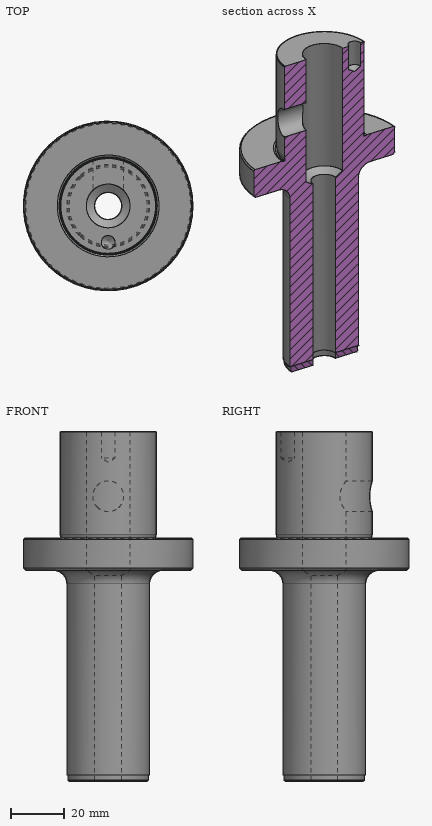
import cadquery as cq
import math

TOTAL_HEIGHT = 131.0
CAP_HEIGHT = 2.4
FLANGE_BOTTOM = 79.0
FLANGE_THICKNESS = 12.0
FLANGE_TOP = FLANGE_BOTTOM + FLANGE_THICKNESS

FLANGE_RADIUS = 63.5 / 2
SPIGOT_RADIUS = 36.0 / 2
SHANK_RADIUS = 31.0 / 2
CAP_RADIUS = SHANK_RADIUS - 0.4

FLANGE_TOP_CHAMFER = 0.5
FLANGE_BOTTOM_CHAMFER = 0.9
SPIGOT_TOP_CHAMFER = 0.3
CAP_CHAMFER = 0.5
SHANK_FILLET = 5.0

RELIEF_DEPTH = 0.3
RELIEF_HEIGHT = 1.5
RELIEF_WALL_HEIGHT = 0.3
RELIEF_WIDTH = 1.0
RELIEF_FLOOR_WIDTH = 0.4

BORE_RADIUS = 16.4 / 2
THROUGH_RADIUS = 10.1 / 2
BORE_FLOOR = FLANGE_BOTTOM
DRILL_POINT_ANGLE = 118.0

SIDE_HOLE_RADIUS = 11.5 / 2
SIDE_HOLE_Z = 106.8

TOP_HOLE_RADIUS = 5.1 / 2
TOP_HOLE_Y = -13.6
TOP_HOLE_DEPTH = 10.0


def point_height(radius):
    """Height of a drill point's cone for a hole of the given radius."""
    return radius / math.tan(math.radians(DRILL_POINT_ANGLE / 2))


def drilled_hole(radius, top, floor):
    """Cutter along Z: a cylinder from top to floor, ending in a drill point below the floor."""
    profile = [(0, top), (radius, top), (radius, floor), (0, floor - point_height(radius))]
    return cq.Workplane("XZ").polyline(profile).close().revolve(360, (0, 0), (0, 1))


def through_hole():
    """Narrow cutter along the whole axis, shared by the arbor and the cap."""
    return cq.Workplane("XY").circle(THROUGH_RADIUS).extrude(TOTAL_HEIGHT)


def arbor_blank():
    """Shank, flange and spigot turned as one piece, with the fillet and the relief groove."""
    fillet_mid = SHANK_FILLET * (1 - math.sqrt(0.5))
    return (
        cq.Workplane("XZ")
        .moveTo(0, CAP_HEIGHT)
        .lineTo(SHANK_RADIUS, CAP_HEIGHT)
        .lineTo(SHANK_RADIUS, FLANGE_BOTTOM - SHANK_FILLET)
        .threePointArc(
            (SHANK_RADIUS + fillet_mid, FLANGE_BOTTOM - fillet_mid),
            (SHANK_RADIUS + SHANK_FILLET, FLANGE_BOTTOM),
        )
        .lineTo(FLANGE_RADIUS - FLANGE_BOTTOM_CHAMFER, FLANGE_BOTTOM)
        .lineTo(FLANGE_RADIUS, FLANGE_BOTTOM + FLANGE_BOTTOM_CHAMFER)
        .lineTo(FLANGE_RADIUS, FLANGE_TOP - FLANGE_TOP_CHAMFER)
        .lineTo(FLANGE_RADIUS - FLANGE_TOP_CHAMFER, FLANGE_TOP)
        .lineTo(SPIGOT_RADIUS + RELIEF_WIDTH, FLANGE_TOP)
        .lineTo(SPIGOT_RADIUS + RELIEF_FLOOR_WIDTH, FLANGE_TOP - RELIEF_DEPTH)
        .lineTo(SPIGOT_RADIUS - RELIEF_DEPTH, FLANGE_TOP - RELIEF_DEPTH)
        .lineTo(SPIGOT_RADIUS - RELIEF_DEPTH, FLANGE_TOP + RELIEF_WALL_HEIGHT)
        .lineTo(SPIGOT_RADIUS, FLANGE_TOP + RELIEF_HEIGHT)
        .lineTo(SPIGOT_RADIUS, TOTAL_HEIGHT - SPIGOT_TOP_CHAMFER)
        .lineTo(SPIGOT_RADIUS - SPIGOT_TOP_CHAMFER, TOTAL_HEIGHT)
        .lineTo(0, TOTAL_HEIGHT)
        .close()
        .revolve(360, (0, 0), (0, 1))
    )


def side_hole():
    """Cutter from the axis out through the +Y side of the spigot."""
    return (
        cq.Workplane("XZ", origin=(0, 0, SIDE_HOLE_Z))
        .circle(SIDE_HOLE_RADIUS)
        .extrude(-FLANGE_RADIUS)
    )


def top_hole():
    """Cutter for the small blind hole beside the bore."""
    cutter = drilled_hole(TOP_HOLE_RADIUS, TOTAL_HEIGHT, TOTAL_HEIGHT - TOP_HOLE_DEPTH)
    return cutter.translate((0, TOP_HOLE_Y, 0))


def make_arbor():
    """Flanged arbor with its bore, radial hole and blind top hole."""
    return (
        arbor_blank()
        .cut(drilled_hole(BORE_RADIUS, TOTAL_HEIGHT, BORE_FLOOR))
        .cut(through_hole())
        .cut(side_hole())
        .cut(top_hole())
    )


def make_end_cap():
    """Thin ring that closes the bottom of the shank, chamfered at its lower outer edge."""
    disc = cq.Workplane("XY").circle(CAP_RADIUS).extrude(CAP_HEIGHT)
    return disc.faces("<Z").edges().chamfer(CAP_CHAMFER).cut(through_hole())


arbor = make_arbor()
end_cap = make_end_cap()

result = cq.Compound.makeCompound([arbor.val(), end_cap.val()])